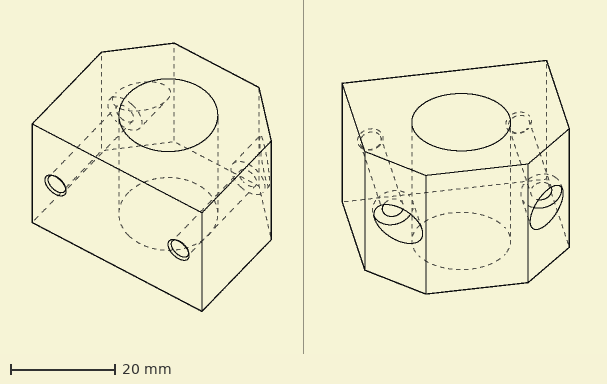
import cadquery as cq

width = 40.0
depth = 33.0
height = 28.0
corner_chamfer = 10.0

bore_diameter = 19.0
bore_from_front = 17.0

screw_spacing = 29.0
screw_diameter = 4.1
countersink_diameter = 5.0
counterbore_diameter = 8.0
counterbore_depth = 10.0


def make_block():
    """Block with its front face on Y = 0 and both back corners cut at 45 degrees."""
    block = cq.Workplane("XY").box(width, depth, height, centered=(True, False, False))
    return block.edges("|Z and >Y").chamfer(corner_chamfer)


def make_bore():
    bore = cq.Workplane("XY").center(0, bore_from_front)
    return bore.circle(bore_diameter / 2).extrude(height)


def make_screw_cutter(x):
    """Through hole with a 45 degree countersink in front and a counterbore behind."""
    screw_radius = screw_diameter / 2
    countersink_radius = countersink_diameter / 2
    counterbore_radius = counterbore_diameter / 2
    countersink_depth = countersink_radius - screw_radius
    counterbore_floor = depth - counterbore_depth
    profile = [
        (0, 0),
        (countersink_radius, 0),
        (screw_radius, countersink_depth),
        (screw_radius, counterbore_floor),
        (counterbore_radius, counterbore_floor),
        (counterbore_radius, depth),
        (0, depth),
    ]
    cutter = cq.Workplane("XY").polyline(profile).close().revolve(360, (0, 0), (0, 1))
    return cutter.translate((x, 0, height / 2))


result = make_block().cut(make_bore())
for side in (-1, 1):
    result = result.cut(make_screw_cutter(side * screw_spacing / 2))